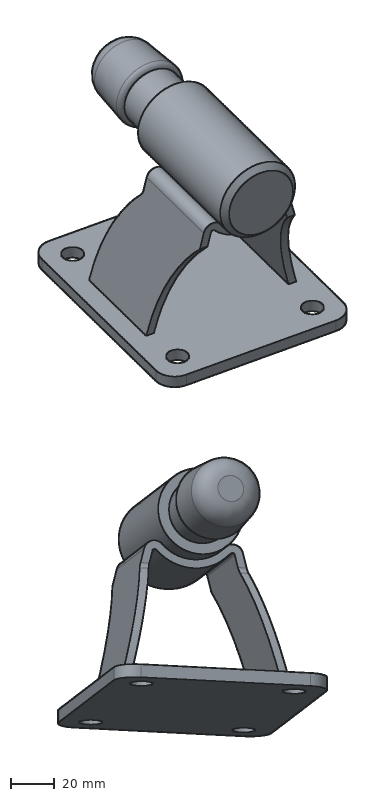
import cadquery as cq
import math

total_length = 129.0

plate_length = 120.0
plate_width = 100.0
plate_thickness = 6.0
plate_corner_radius = 10.0
hole_diameter = 10.5
hole_edge_distance = 14.0

barrel_radius = 20.0
barrel_length = 75.0
barrel_chamfer = 3.0
axis_height = 88.0
pin_radius = 15.0

head_length = 34.0
head_front_radius = 15.5
head_back_radius = 17.7
head_nose_round = 10.0
head_back_round = 3.0

strap_thickness = 4.0
strap_width = 50.0
strap_top_start = 67.0
strap_sweep = 22.8
strap_foot_half_width = 40.0
strap_bend_radius = 1.0
strap_bend_height = 71.0
strap_corner_height = 63.9
strap_corner_round = 4.0

barrel_start = total_length - barrel_length


def make_plate():
    """Rounded plate with a hole near each corner."""
    center_x = total_length - plate_length / 2
    hole_spacing_x = plate_length - 2 * hole_edge_distance
    hole_spacing_y = plate_width - 2 * hole_edge_distance
    return (
        cq.Workplane("XY")
        .center(center_x, 0)
        .rect(plate_length, plate_width)
        .extrude(plate_thickness)
        .edges("|Z")
        .fillet(plate_corner_radius)
        .faces(">Z")
        .workplane()
        .rect(hole_spacing_x, hole_spacing_y, forConstruction=True)
        .vertices()
        .hole(hole_diameter)
    )


def make_cylinder(start, end, radius):
    """Cylinder on the barrel axis from X = start to X = end."""
    return cq.Workplane("YZ", origin=(start, 0, axis_height)).circle(radius).extrude(end - start)


def make_head():
    """Tapered head with a rounded nose and a rounded back edge."""
    cone = (
        cq.Workplane("XZ", origin=(0, 0, axis_height))
        .polyline([(0, 0), (0, head_front_radius), (head_length, head_back_radius), (head_length, 0)])
        .close()
        .revolve(360, (0, 0), (1, 0))
    )
    return cone.faces("<X").edges().fillet(head_nose_round).faces(">X").edges().fillet(head_back_round)


def make_strap_section():
    """Bent strap seen along X: a cradle, two bends and two splayed legs."""
    bend_outer = strap_bend_radius + strap_thickness
    cradle_outer = barrel_radius + strap_thickness

    bend_drop = axis_height - strap_bend_height
    bend_distance = cradle_outer + strap_bend_radius
    bend_y = math.sqrt(bend_distance**2 - bend_drop**2)

    run = strap_foot_half_width - bend_y
    drop = strap_bend_height - plate_thickness
    splay = math.atan2(run, drop) - math.asin(bend_outer / math.hypot(run, drop))
    foot_inner = strap_foot_half_width - strap_thickness / math.cos(splay)

    to_axis = math.atan2(bend_drop, -bend_y)
    to_leg = splay
    to_middle = (to_axis + to_leg) / 2

    def bend_point(radius, angle, side):
        return (
            side * (bend_y + radius * math.cos(angle)),
            strap_bend_height + radius * math.sin(angle),
        )

    return (
        cq.Workplane("YZ")
        .moveTo(strap_foot_half_width, plate_thickness)
        .lineTo(*bend_point(bend_outer, to_leg, 1))
        .threePointArc(bend_point(bend_outer, to_middle, 1), bend_point(bend_outer, to_axis, 1))
        .threePointArc((0, axis_height - barrel_radius), bend_point(bend_outer, to_axis, -1))
        .threePointArc(bend_point(bend_outer, to_middle, -1), bend_point(bend_outer, to_leg, -1))
        .lineTo(-strap_foot_half_width, plate_thickness)
        .lineTo(-foot_inner, plate_thickness)
        .lineTo(*bend_point(strap_bend_radius, to_leg, -1))
        .threePointArc(
            bend_point(strap_bend_radius, to_middle, -1),
            bend_point(strap_bend_radius, to_axis, -1),
        )
        .threePointArc((0, axis_height - cradle_outer), bend_point(strap_bend_radius, to_axis, 1))
        .threePointArc(
            bend_point(strap_bend_radius, to_middle, 1),
            bend_point(strap_bend_radius, to_leg, 1),
        )
        .lineTo(foot_inner, plate_thickness)
        .close()
        .extrude(total_length)
    )


def make_strap_outline():
    """Side outline of the strap: straight top, legs swept toward the pin in an arc."""
    rise = strap_corner_height - plate_thickness
    foot_start = strap_top_start - strap_sweep
    top_end = strap_top_start + strap_width

    sweep_radius = (rise**2 + strap_sweep**2) / (2 * strap_sweep)
    middle_angle = math.asin(rise / sweep_radius) / 2
    middle_x = foot_start + sweep_radius * (1 - math.cos(middle_angle))
    middle_z = plate_thickness + sweep_radius * math.sin(middle_angle)

    outline = (
        cq.Workplane("XZ")
        .moveTo(foot_start, plate_thickness)
        .threePointArc((middle_x, middle_z), (strap_top_start, strap_corner_height))
        .lineTo(strap_top_start, axis_height)
        .lineTo(top_end, axis_height)
        .lineTo(top_end, strap_corner_height)
        .threePointArc((middle_x + strap_width, middle_z), (foot_start + strap_width, plate_thickness))
        .close()
        .extrude(plate_width / 2, both=True)
    )
    front_corner = cq.selectors.NearestToPointSelector((strap_top_start, 0, strap_corner_height))
    return outline.edges("|Y").edges(front_corner).fillet(strap_corner_round)


def make_strap():
    """Bent strap with swept legs and a cradle that keeps its square ends."""
    strap = make_strap_section().intersect(make_strap_outline())
    trim = (
        cq.Workplane("XY")
        .rect(strap_top_start, barrel_radius)
        .extrude(axis_height)
        .translate((strap_top_start / 2, 0, 0))
    )
    return strap.cut(trim)



plate = make_plate()
barrel = make_cylinder(barrel_start, total_length, barrel_radius).faces(">X").chamfer(barrel_chamfer)
pin = make_cylinder(head_length / 2, barrel_start + barrel_length / 2, pin_radius)
strap = make_strap()

result = plate.union(strap).union(barrel).union(pin).union(make_head())